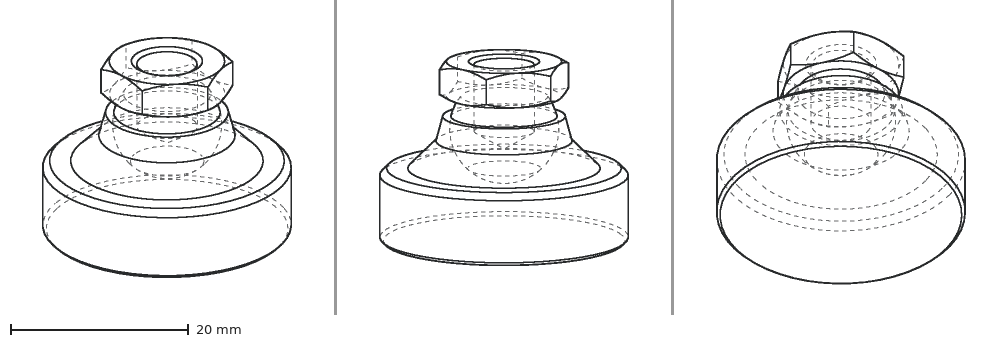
import cadquery as cq
import math

BASE_RADIUS = 14.0
BASE_HEIGHT = 8.32
BASE_TOP_CHAMFER = 0.78
BASE_BOTTOM_CHAMFER = 0.4

CONE_TOP_RADIUS = 7.67
CONE_HEIGHT = 3.15
CONE_BOTTOM_RADIUS = CONE_TOP_RADIUS + CONE_HEIGHT
COLLAR_TOP_RADIUS = 6.92
COLLAR_HEIGHT = 2.83
CONE_TOP_Z = BASE_HEIGHT + CONE_HEIGHT
COLLAR_TOP_Z = CONE_TOP_Z + COLLAR_HEIGHT

BALL_RADIUS = 6.15
BALL_CENTRE_Z = 12.88
HEX_ACROSS_FLATS = 13.0
HEX_HEIGHT = 4.0
HEAD_TOP_Z = 20.6
HEAD_BOTTOM_Z = HEAD_TOP_Z - HEX_HEIGHT
HEX_CHAMFER_ANGLE = 30.0

HOLE_RADIUS = 3.4
HOLE_DEPTH = 8.0
HOLE_MOUTH_RADIUS = 4.0
HOLE_CHAMFER_ANGLE = 30.0
HOLE_CHAMFER_DEPTH = (HOLE_MOUTH_RADIUS - HOLE_RADIUS) * math.tan(math.radians(HOLE_CHAMFER_ANGLE))
DRILL_POINT_ANGLE = 118.0


def revolve_profile(points):
    """Turn a closed (radius, z) outline about the Z axis."""
    return cq.Workplane("XZ").polyline(points).close().revolve(360, (0, 0), (0, 1))


def make_ball():
    return cq.Workplane("XY").sphere(BALL_RADIUS).translate((0, 0, BALL_CENTRE_Z))


def make_base():
    """Chamfered disc with a shallow dish for the underside of the ball."""
    disc = cq.Workplane("XY").circle(BASE_RADIUS).extrude(BASE_HEIGHT)
    disc = disc.faces(">Z").chamfer(BASE_TOP_CHAMFER)
    disc = disc.faces("<Z").chamfer(BASE_BOTTOM_CHAMFER)
    return disc.cut(make_ball())


def make_housing():
    """Conical housing with a spherical socket."""
    blank = revolve_profile([
        (0, BASE_HEIGHT),
        (CONE_BOTTOM_RADIUS, BASE_HEIGHT),
        (CONE_TOP_RADIUS, CONE_TOP_Z),
        (COLLAR_TOP_RADIUS, COLLAR_TOP_Z),
        (0, COLLAR_TOP_Z),
    ])
    return blank.cut(make_ball())


def make_hex_head():
    """Hexagon with corners on the Y axis, chamfered conically at both ends."""
    flat_radius = HEX_ACROSS_FLATS / 2
    corner_radius = flat_radius / math.cos(math.radians(30))
    chamfer_drop = (corner_radius - flat_radius) * math.tan(math.radians(HEX_CHAMFER_ANGLE))
    prism = (
        cq.Workplane("XY")
        .workplane(offset=HEAD_BOTTOM_Z)
        .transformed(rotate=(0, 0, 90))
        .polygon(6, 2 * corner_radius)
        .extrude(HEX_HEIGHT)
    )
    chamfer_envelope = revolve_profile([
        (0, HEAD_BOTTOM_Z),
        (flat_radius, HEAD_BOTTOM_Z),
        (corner_radius, HEAD_BOTTOM_Z + chamfer_drop),
        (corner_radius, HEAD_TOP_Z - chamfer_drop),
        (flat_radius, HEAD_TOP_Z),
        (0, HEAD_TOP_Z),
    ])
    return prism.intersect(chamfer_envelope)


def make_hole():
    """Cutting shape of the blind hole, with its mouth chamfer and drill point."""
    hole_bottom_z = HEAD_TOP_Z - HOLE_DEPTH
    point_depth = HOLE_RADIUS / math.tan(math.radians(DRILL_POINT_ANGLE / 2))
    return revolve_profile([
        (0, hole_bottom_z - point_depth),
        (HOLE_RADIUS, hole_bottom_z),
        (HOLE_RADIUS, HEAD_TOP_Z - HOLE_CHAMFER_DEPTH),
        (HOLE_MOUTH_RADIUS, HEAD_TOP_Z),
        (0, HEAD_TOP_Z),
    ])


def make_ball_stud():
    return make_ball().union(make_hex_head()).cut(make_hole())


base = make_base()
housing = make_housing()
ball_stud = make_ball_stud()

result = cq.Compound.makeCompound([base.solids().val(), housing.solids().val(), ball_stud.solids().val()])